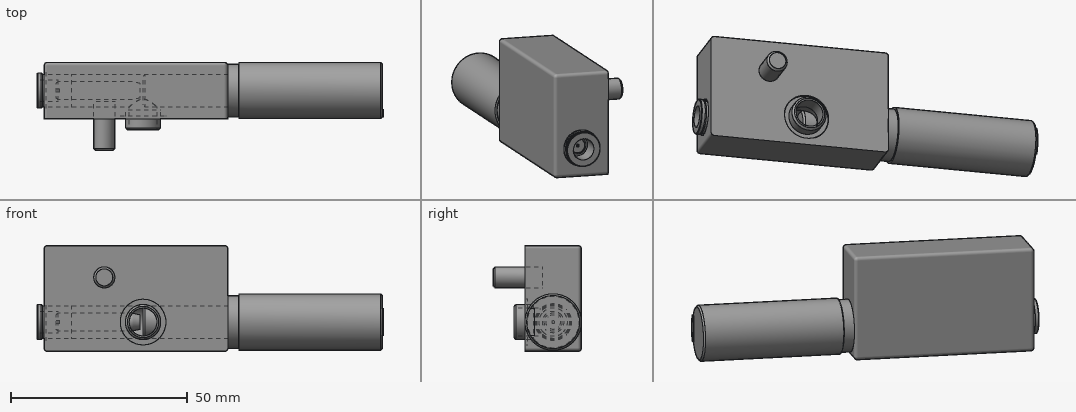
import cadquery as cq


housing_length = 52.1
housing_depth = 16.0
housing_height = 30.0
housing_round = 1.0
axis_height = 8.3
front_y = -housing_depth / 2
housing_bottom = -axis_height

bore_radius = 4.6
piston_start = 28.0
piston_chamfer = 0.6
stem_radius = 2.55
stem_end_radius = 2.1
stem_end = 27.2
stem_taper_length = 2.1
stem_chamfer = stem_radius - stem_end_radius
stem_hole_radius = 0.4
stem_hole_depth = 1.0

nut_head_radius = 5.0
nut_head_thickness = 2.0
nut_rim_length = 1.1
nut_chamfer = 0.2
nut_taper_length = 0.5
nut_body_length = 7.8
nut_bore_radius = 3.0
nut_bore_depth = 5.9
nut_bore_floor = nut_bore_depth - nut_head_thickness
nut_recess_radius = 5.2
nut_recess_depth = 0.5

port_x = 28.0
port_radius = 10.0 / 2
port_bore_radius = 3.9
port_height = 3.1
port_seat_depth = 2.5
port_chamfer = 0.6
port_recess_radius = 6.5
port_recess_depth = 0.8

pin_x = 17.1
pin_z = 12.6
pin_radius = 6.0 / 2
pin_height = 9.0
pin_seat_depth = 4.9
pin_chamfer = 0.6

collar_radius = 15.0 / 2
collar_length = 3.1
collar_chamfer = 0.2
knob_radius = housing_depth / 2
knob_chamfer = 0.5
overall_length = 98.05
knob_start = housing_length + collar_length
mark_height = 0.3
mark_width = 7.55
mark_inner_y = -5.3
knob_length = overall_length - nut_head_thickness - knob_start - mark_height


def rod_x(start, length, radius):
    """Cylinder on the main axis, running toward +X from start."""
    return cq.Workplane("YZ", origin=(start, 0, 0)).circle(radius).extrude(length)


def rod_y(x, z, start, length, radius):
    """Cylinder parallel to Y, running toward +Y from start."""
    return cq.Workplane("XZ", origin=(x, start, z)).circle(radius).extrude(-length)


def turned(profile):
    """Solid of revolution about the main axis from (x, radius) points."""
    return cq.Workplane("XY").polyline(profile).close().revolve(360, (0, 0, 0), (1, 0, 0))


def make_housing():
    block = (
        cq.Workplane("XY", origin=(0, front_y, housing_bottom))
        .box(housing_length, housing_depth, housing_height, centered=False)
        .edges("|Y or >Y")
        .fillet(housing_round)
    )
    bore = rod_x(0, housing_length, bore_radius)
    nut_recess = rod_x(0, nut_recess_depth, nut_recess_radius)
    port_recess = rod_y(port_x, 0, front_y, port_recess_depth, port_recess_radius)
    port_seat = rod_y(port_x, 0, front_y, port_seat_depth, port_radius)
    port_bore = rod_y(port_x, 0, front_y, -front_y, port_bore_radius)
    pin_seat = rod_y(pin_x, pin_z, front_y, pin_seat_depth, pin_radius)
    for cavity in (bore, nut_recess, port_recess, port_seat, port_bore, pin_seat):
        block = block.cut(cavity)
    return block


def make_nut():
    rim_end = nut_rim_length - nut_head_thickness
    return turned([
        (-nut_head_thickness, nut_bore_radius),
        (-nut_head_thickness, nut_head_radius - nut_chamfer),
        (nut_chamfer - nut_head_thickness, nut_head_radius),
        (rim_end, nut_head_radius),
        (rim_end + nut_taper_length, bore_radius),
        (nut_body_length, bore_radius),
        (nut_body_length, stem_radius),
        (nut_bore_floor, stem_radius),
        (nut_bore_floor, nut_bore_radius),
    ])


def make_stem():
    tip = nut_bore_floor - stem_chamfer
    hole = rod_x(tip, stem_hole_depth, stem_hole_radius)
    return turned([
        (tip, 0),
        (tip, stem_end_radius),
        (nut_bore_floor, stem_radius),
        (stem_end - stem_taper_length, stem_radius),
        (stem_end, stem_end_radius),
        (stem_end, 0),
    ]).cut(hole)


def make_piston():
    piston = rod_x(piston_start, housing_length - piston_start, bore_radius)
    return piston.faces("<X").chamfer(piston_chamfer)


def make_port():
    tip_y = front_y - port_height
    length = port_height + port_seat_depth
    outside = rod_y(port_x, 0, tip_y, length, port_radius).faces("<Y").chamfer(port_chamfer)
    bore = rod_y(port_x, 0, tip_y, length, port_bore_radius)
    return outside.cut(bore)


def make_pin():
    pin = rod_y(pin_x, pin_z, front_y - pin_height, pin_height + pin_seat_depth, pin_radius)
    return pin.faces("<Y").chamfer(pin_chamfer)


def make_collar():
    collar = rod_x(housing_length, collar_length, collar_radius)
    return collar.faces(">X").chamfer(collar_chamfer)


def make_knob():
    knob = rod_x(knob_start, knob_length, knob_radius).faces(">X").chamfer(knob_chamfer)
    knob_end = knob_start + knob_length
    mark_limits = cq.Workplane("XY", origin=(knob_end, -knob_radius, -mark_width / 2)).box(
        mark_height, knob_radius + mark_inner_y, mark_width, centered=False
    )
    mark = rod_x(knob_end, mark_height, knob_radius - knob_chamfer).intersect(mark_limits)
    return knob.union(mark)


housing = make_housing()
nut = make_nut()
stem = make_stem()
piston = make_piston()
port = make_port()
pin = make_pin()
collar = make_collar()
knob = make_knob()

bodies = (housing, nut, stem, piston, port, pin, collar, knob)
result = cq.Compound.makeCompound([body.val() for body in bodies])